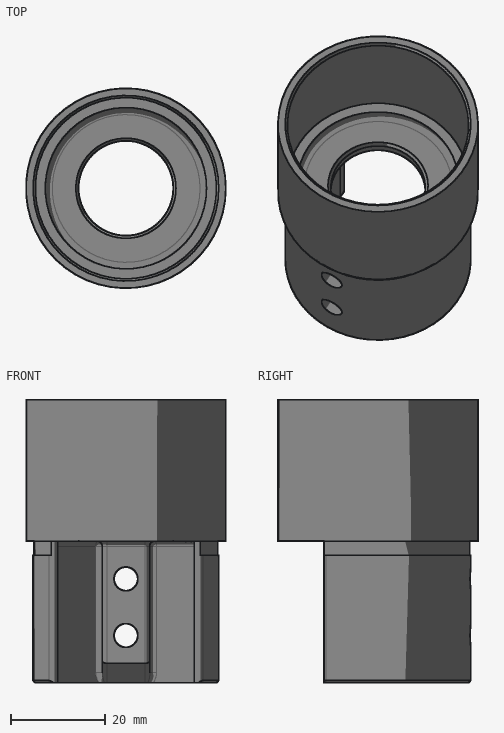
import cadquery as cq
import math

total_height = 60.0
collar_bottom = 30.0
collar_diameter = 42.4
collar_radius = collar_diameter / 2
socket_radius = 19.2
socket_rim_chamfer = 0.5
socket_floor = 34.0
recess_radius = 17.1
recess_depth = 1.5
recess_corner_radius = 1.45
recess_floor = socket_floor - recess_depth
through_hole_radius = 10.0
hole_chamfer = 0.6

shell_diameter = 39.4
shell_radius = shell_diameter / 2
shell_inner_diameter = 34.0
shell_inner_radius = shell_inner_diameter / 2
shell_foot_chamfer = 0.5
neck_radius = 19.5
neck_height = 3.0
neck_bottom = collar_bottom - neck_height
end_tangent_y = -11.05
blend_radius = 1.0

pad_half_width = 5.05
pad_face_y = 11.4
pad_slope_height = 4.15
pad_slope_y = pad_face_y + pad_slope_height
screw_diameter = 5.0
screw_heights = (10.0, 22.0)


def disc(radius, bottom, top):
    return cq.Workplane("XY").workplane(offset=bottom).circle(radius).extrude(top - bottom)


def nearest_to(x, y, z):
    return cq.selectors.NearestToPointSelector((x, y, z))


def make_collar():
    """Collar with a socket, a shallow round-cornered recess and a central hole."""
    socket = disc(socket_radius, socket_floor, total_height)
    socket_rim = cq.Solid.makeCone(
        socket_radius,
        socket_radius + socket_rim_chamfer,
        socket_rim_chamfer,
        pnt=cq.Vector(0, 0, total_height - socket_rim_chamfer),
    )
    recess = disc(recess_radius, recess_floor, total_height)
    recess = recess.faces("<Z").edges().fillet(recess_corner_radius)
    hole = disc(through_hole_radius, collar_bottom, total_height)
    hole_rim = cq.Solid.makeCone(
        through_hole_radius,
        through_hole_radius + hole_chamfer,
        hole_chamfer,
        pnt=cq.Vector(0, 0, recess_floor - hole_chamfer),
    )
    collar = disc(collar_radius, collar_bottom, total_height)
    for opening in (socket, socket_rim, recess, hole, hole_rim):
        collar = collar.cut(opening)
    return collar


def make_shell():
    """Part-circle wall with rounded ends, a relieved neck and a chamfered foot."""
    end_angle = math.asin(end_tangent_y / shell_radius)
    outer_x = shell_radius * math.cos(end_angle)

    end_x = (shell_radius - blend_radius) * math.cos(end_angle)
    end_y = (shell_radius - blend_radius) * math.sin(end_angle)
    lip_x = end_x - blend_radius
    inner_y = -math.sqrt(shell_inner_radius**2 - lip_x**2)
    tip_y = end_y - blend_radius

    shell = (
        cq.Workplane("XY")
        .moveTo(outer_x, end_tangent_y)
        .threePointArc((0, shell_radius), (-outer_x, end_tangent_y))
        .threePointArc((-end_x, tip_y), (-lip_x, end_y))
        .lineTo(-lip_x, inner_y)
        .threePointArc((0, shell_inner_radius), (lip_x, inner_y))
        .lineTo(lip_x, end_y)
        .threePointArc((end_x, tip_y), (outer_x, end_tangent_y))
        .close()
        .extrude(collar_bottom)
    )
    envelope = disc(shell_radius, 0, neck_bottom).faces("<Z").chamfer(shell_foot_chamfer)
    envelope = envelope.union(disc(neck_radius, neck_bottom, collar_bottom))
    return shell.intersect(envelope)


def make_pad():
    """Screw pad with a sloped foot and rounded corners along its face and slope."""
    back_y = (shell_inner_radius + shell_radius) / 2
    pad = (
        cq.Workplane("YZ")
        .moveTo(pad_slope_y, 0)
        .lineTo(pad_face_y, pad_slope_height)
        .lineTo(pad_face_y, collar_bottom)
        .lineTo(back_y, collar_bottom)
        .lineTo(back_y, 0)
        .close()
        .extrude(pad_half_width, both=True)
    )
    upright_edges = pad.edges("not(|X or |Y)")
    corners = upright_edges.filter(lambda edge: edge.Center().y < pad_slope_y)
    return corners.fillet(blend_radius)


def blend_inside(body):
    """Round the corners beside the pad, then the whole corner under the collar."""
    pad_root_y = math.sqrt(shell_inner_radius**2 - pad_half_width**2)
    for x in (-pad_half_width, pad_half_width):
        body = body.edges(nearest_to(x, pad_root_y, collar_bottom / 2)).fillet(blend_radius)
    return body.edges(nearest_to(0, pad_face_y, collar_bottom)).fillet(blend_radius)


def make_screw_holes():
    return (
        cq.Workplane("XZ")
        .pushPoints([(0, z) for z in screw_heights])
        .circle(screw_diameter / 2)
        .extrude(-collar_radius)
    )


body = make_collar().union(make_shell()).union(make_pad())
result = blend_inside(body).cut(make_screw_holes())